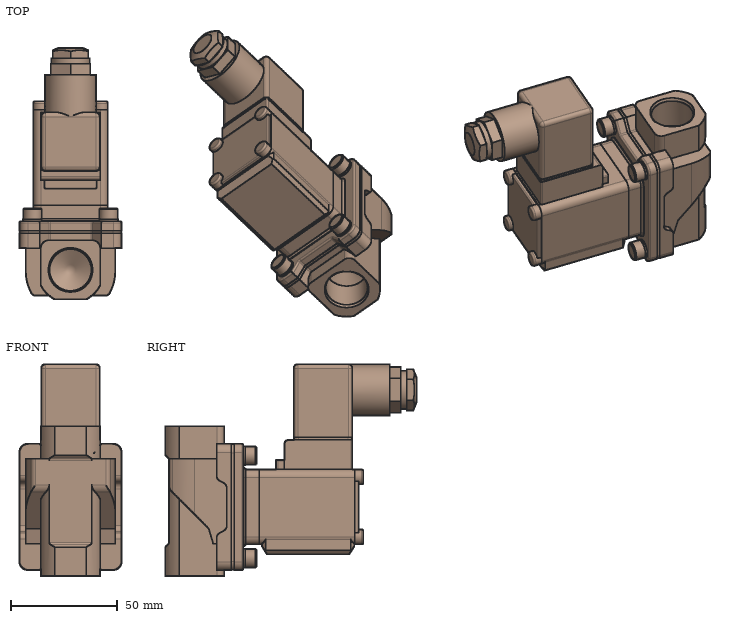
import cadquery as cq
import math


pipe_length = 70.3
pipe_mid = pipe_length / 2
block_width = 27.7
block_depth = 27.7
port_y = block_depth / 2
block_front_radius = 15.7
block_back_fillet = 3.5
port_radius = 9.8
port_mouth_radius = 10.4
port_mouth_depth = 1.4
port_depth = 16.5
drill_tip_angle = 118.0
front_relief = 1.8
relief_half_outer = 21.6
relief_half_inner = 19.8
relief_fillet = 1.4

shoulder_top = 55.0
shoulder_width = 42.1
shoulder_half_width = shoulder_width / 2
shoulder_side_y = 13.6
shoulder_corner_x = 18.6
shoulder_corner_y = 3.4
shoulder_front_half = 15.5
shoulder_slope_y = 20.4
shoulder_slope_z = 22.3
shoulder_bottom_y = 22.5
shoulder_bottom_z = 15.1
shoulder_nose_radius = 4.7

axis_z = 32.4
flange_width = 48.0
flange_height = 59.2
flange_front = 24.0
cover_back = 36.7
flange_corner = 4.0
cover_rim = 0.8
joint_front = 31.0
joint_back = 32.3
joint_inset = 0.1
side_recess_y = 28.9
side_recess_half = 10.5
side_recess_mouth_half = 13.0
side_recess_fillet = 3.1
dip_half_floor = 10.0
dip_half_mouth = 14.4
dip_depth = 5.7
dip_fillet = 1.0

bolt_radius = 4.4
bolt_spacing_x = 35.7
bolt_x = bolt_spacing_x / 2
bolt_offset_z = 24.0
bolt_end = 42.8
bolt_chamfer = 0.6
washer_radius = 4.5
washer_thickness = 1.0

coil_size = 35.1
coil_half = coil_size / 2
coil_corner = 3.7
coil_front = 44.1
coil_back = 88.8
foot_bevel = 1.0
foot_height = 1.2
back_plate_thickness = 2.0
back_plate_inset = 0.6
back_plate_rim = 0.6
screw_radius = 3.5
screw_end = 92.9
screw_fillet = 1.0
screw_offset = coil_half - screw_radius

belly_half_width = 17.3
belly_front = 45.3
belly_back = 88.7
belly_bottom = 10.1
belly_side_bottom = 14.0
belly_taper = 2.5
belly_corner = 1.8
belly_edge_chamfer = 1.9

base_half_width = 14.0
base_front = 55.9
base_back = 87.7
base_top = 63.8
base_front_fillet = 1.8
base_back_fillet = 0.8
step_width = 24.6
step_half_width = step_width / 2
step_front = 51.9
step_top = 54.5
step_corner_fillet = 0.8
step_edge_fillet = 0.5

plug_half_width = 13.8
plug_front = 60.1
plug_top = 99.3
plug_fillet = 2.0
plug_foot_height = 1.3
plug_foot_inset = 0.1
barrel_radius = 12.0
barrel_end = 105.3
gland_z = plug_top - barrel_radius
nut_corners = 21.5
nut_end = 110.5
neck_radius = 9.1
neck_end = 113.1
cap_corners = 19.5
cap_end = 117.9
cap_face_radius = 5.5
cap_cone_length = 1.7


def box(x_half, y0, y1, z0, z1):
    """Box symmetric about X = 0."""
    return cq.Workplane("XY").box(2 * x_half, y1 - y0, z1 - z0, centered=False).translate((-x_half, y0, z0))


def facing_back(y, x=0.0, z=0.0):
    """Sketch plane whose normal is +Y and whose local axes are -X and +Z."""
    return cq.Workplane(cq.Plane(origin=(x, y, z), xDir=(-1, 0, 0), normal=(0, 1, 0)))


def side_prism(points, x0, x1):
    """Outline given as (y, z) points, swept along X."""
    return cq.Workplane("YZ").workplane(offset=x0).polyline(points).close().extrude(x1 - x0)


def make_pipe_block():
    block = box(block_width / 2, 0, block_depth, 0, pipe_length)
    block = block.edges("|Z and >Y").fillet(block_back_fillet)
    rounding = cq.Workplane("XY").center(0, port_y).circle(block_front_radius).extrude(pipe_length)
    back_half = box(block_width, port_y, block_depth, 0, pipe_length)
    block = block.intersect(rounding.union(back_half))
    relief = side_prism(
        [
            (0, pipe_mid - relief_half_outer),
            (front_relief, pipe_mid - relief_half_inner),
            (front_relief, pipe_mid + relief_half_inner),
            (0, pipe_mid + relief_half_outer),
        ],
        -block_width, block_width,
    )
    relief = relief.edges("|X and >Y").fillet(relief_fillet)
    return block.cut(relief)


def make_shoulder():
    mid_y = (shoulder_side_y + shoulder_corner_y) / 2
    side_run = shoulder_side_y - shoulder_corner_y
    side_drop = shoulder_half_width - shoulder_corner_x
    side_radius = (side_run**2 + side_drop**2) / (2 * side_drop)
    mid_x = shoulder_half_width - side_radius + math.sqrt(side_radius**2 - (side_run / 2) ** 2)
    nose_x = shoulder_front_half + math.sin(math.pi / 4) * (shoulder_corner_x - shoulder_front_half)
    nose_y = shoulder_corner_y - math.cos(math.pi / 4) * (shoulder_corner_y - front_relief)
    plan = (
        cq.Workplane("XY")
        .moveTo(-shoulder_half_width, joint_front)
        .lineTo(-shoulder_half_width, shoulder_side_y)
        .threePointArc((-mid_x, mid_y), (-shoulder_corner_x, shoulder_corner_y))
        .threePointArc((-nose_x, nose_y), (-shoulder_front_half, front_relief))
        .lineTo(shoulder_front_half, front_relief)
        .threePointArc((nose_x, nose_y), (shoulder_corner_x, shoulder_corner_y))
        .threePointArc((mid_x, mid_y), (shoulder_half_width, shoulder_side_y))
        .lineTo(shoulder_half_width, joint_front)
        .close()
        .extrude(shoulder_top)
    )
    profile = side_prism(
        [
            (joint_front, shoulder_bottom_z),
            (shoulder_bottom_y, shoulder_bottom_z),
            (shoulder_slope_y, shoulder_slope_z),
            (front_relief, shoulder_slope_z + shoulder_slope_y - front_relief),
            (front_relief, shoulder_top),
            (joint_front, shoulder_top),
        ],
        -flange_width, flange_width,
    )
    nose_edge = cq.selectors.NearestToPointSelector(
        (0, front_relief, shoulder_slope_z + shoulder_slope_y - front_relief)
    )
    profile = profile.edges("|X").edges(nose_edge).fillet(shoulder_nose_radius)
    return plan.intersect(profile)


def flange_plate(y0, y1, inset=0.0):
    """Rounded plate with a shallow dip between the bolts in its upper and lower edge."""
    half_height = flange_height / 2 - inset
    plate = (
        facing_back(y0, z=axis_z)
        .rect(flange_width - 2 * inset, 2 * half_height)
        .extrude(y1 - y0)
        .edges("|Y").fillet(flange_corner)
    )
    for side in (1, -1):
        edge = side * half_height
        floor = edge - side * dip_depth
        dip = (
            facing_back(y0, z=axis_z)
            .polyline([
                (-dip_half_mouth, edge),
                (-dip_half_floor, floor),
                (dip_half_floor, floor),
                (dip_half_mouth, edge),
            ])
            .close()
            .extrude(y1 - y0)
        )
        dip = dip.edges("|Y").edges(">Z" if side < 0 else "<Z").fillet(dip_fillet)
        plate = plate.cut(dip)
    return plate


def make_flange():
    plate = flange_plate(flange_front, joint_front)
    recess = side_prism(
        [
            (flange_front, axis_z - side_recess_mouth_half),
            (side_recess_y, axis_z - side_recess_half),
            (side_recess_y, axis_z + side_recess_half),
            (flange_front, axis_z + side_recess_mouth_half),
        ],
        -flange_width, flange_width,
    )
    recess = recess.edges("|X and >Y").fillet(side_recess_fillet)
    plate = plate.cut(recess)
    for z in (axis_z - side_recess_mouth_half, axis_z + side_recess_mouth_half):
        mouth_edge = cq.selectors.NearestToPointSelector((0, flange_front, z))
        plate = plate.edges("|X").edges(mouth_edge).fillet(side_recess_fillet)
    cover = flange_plate(joint_back, cover_back).faces(">Y").edges().fillet(cover_rim)
    return plate.union(flange_plate(joint_front, joint_back, joint_inset)).union(cover)


def make_coil_foot():
    foot = facing_back(cover_back, z=axis_z).rect(coil_size, coil_size).extrude(coil_front - cover_back)
    foot = foot.edges("|Y").fillet(coil_corner)
    collar_size = coil_size + 2 * foot_bevel
    collar = facing_back(cover_back, z=axis_z).rect(collar_size, collar_size).extrude(foot_height)
    collar = collar.edges("|Y").fillet(coil_corner + foot_bevel)
    collar = collar.faces(">Y").edges().chamfer(foot_bevel)
    return foot.union(collar)


def make_bolt_head(x, z):
    head = facing_back(cover_back, x, z).circle(bolt_radius).extrude(bolt_end - cover_back)
    washer = facing_back(cover_back, x, z).circle(washer_radius).extrude(washer_thickness)
    return head.faces(">Y").chamfer(bolt_chamfer).union(washer)


def make_port(z, inward):
    """Blind drilled port: mouth chamfer, bore and drill tip; inward is +1 or -1 along Z."""
    tip = port_radius / math.tan(math.radians(drill_tip_angle / 2))
    return (
        cq.Workplane("XZ")
        .polyline([
            (0, 0),
            (port_mouth_radius, 0),
            (port_radius, inward * port_mouth_depth),
            (port_radius, inward * port_depth),
            (0, inward * (port_depth + tip)),
        ])
        .close()
        .revolve(360, (0, 0, 0), (0, 1, 0))
        .translate((0, port_y, z))
    )


def make_valve():
    valve = make_flange().union(make_shoulder()).union(make_pipe_block()).union(make_coil_foot())
    for x in (-bolt_x, bolt_x):
        for offset in (-bolt_offset_z, bolt_offset_z):
            valve = valve.union(make_bolt_head(x, axis_z + offset))
    return valve.cut(make_port(0, 1)).cut(make_port(pipe_length, -1))


def make_belly():
    """Tapered bulge under the coil."""
    buried_z = axis_z - coil_half + coil_corner
    belly = side_prism(
        [
            (belly_front, buried_z),
            (belly_front, belly_side_bottom),
            (belly_front + belly_taper, belly_bottom),
            (belly_back - belly_taper, belly_bottom),
            (belly_back, belly_side_bottom),
            (belly_back, buried_z),
        ],
        -belly_half_width, belly_half_width,
    )
    belly = belly.edges("|Z").chamfer(belly_corner)
    return belly.faces("<Z").edges("|Y").chamfer(belly_edge_chamfer)


def make_base():
    base = box(base_half_width, base_front, base_back, axis_z, base_top)
    base = base.edges(">Z and <Y").fillet(base_front_fillet)
    base = base.edges("|Z and >Y").fillet(base_back_fillet)
    step = box(step_half_width, step_front, base_back - base_front_fillet, axis_z, step_top)
    step = step.edges("|Z and <Y").fillet(step_corner_fillet)
    step = step.faces(">Z").edges("not(>Y)").fillet(step_edge_fillet)
    return base.union(step)


def make_coil():
    coil = facing_back(coil_front, z=axis_z).rect(coil_size, coil_size).extrude(coil_back - coil_front)
    coil = coil.edges("|Y").fillet(coil_corner)
    plate_size = coil_size - 2 * back_plate_inset
    back_plate = facing_back(coil_back, z=axis_z).rect(plate_size, plate_size).extrude(back_plate_thickness)
    back_plate = back_plate.edges("|Y").fillet(coil_corner).faces(">Y").edges().fillet(back_plate_rim)
    coil = coil.union(back_plate).union(make_belly()).union(make_base())
    for x in (-screw_offset, screw_offset):
        for offset in (-screw_offset, screw_offset):
            head = facing_back(coil_back, x, axis_z + offset).circle(screw_radius).extrude(screw_end - coil_back)
            coil = coil.union(head.faces(">Y").edges().fillet(screw_fillet))
    return coil


def gland_hex(y0, y1, corners):
    """Hexagonal prism around the gland axis with corners at top and bottom."""
    hexagon = facing_back(y0, z=gland_z).polygon(6, corners).extrude(y1 - y0)
    return hexagon.rotate((0, 0, gland_z), (0, 1, gland_z), 90)


def make_cap():
    """Hexagonal cap whose end is turned down to a cone."""
    corner_radius = cap_corners / 2
    turned = (
        cq.Workplane("XY")
        .polyline([
            (0, neck_end),
            (corner_radius, neck_end),
            (corner_radius, cap_end - cap_cone_length),
            (cap_face_radius, cap_end),
            (0, cap_end),
        ])
        .close()
        .revolve(360, (0, 0, 0), (0, 1, 0))
        .translate((0, 0, gland_z))
    )
    return gland_hex(neck_end, cap_end, cap_corners).intersect(turned)


def make_plug():
    shell_bottom = base_top + plug_foot_height
    plug = box(plug_half_width, plug_front, base_back, shell_bottom, plug_top)
    plug = plug.edges("|Z or >Z").fillet(plug_fillet)
    foot = box(
        plug_half_width - plug_foot_inset,
        plug_front + plug_foot_inset,
        base_back - plug_foot_inset,
        base_top,
        shell_bottom,
    )
    plug = plug.union(foot.edges("|Z").fillet(plug_fillet))
    barrel_start = base_back - plug_fillet
    barrel = facing_back(barrel_start, z=gland_z).circle(barrel_radius).extrude(barrel_end - barrel_start)
    neck = facing_back(nut_end, z=gland_z).circle(neck_radius).extrude(neck_end - nut_end)
    nut = gland_hex(barrel_end, nut_end, nut_corners)
    return plug.union(barrel).union(nut).union(neck).union(make_cap())


valve = make_valve()
coil = make_coil()
plug = make_plug()

result = cq.Compound.makeCompound([valve.val(), coil.val(), plug.val()])